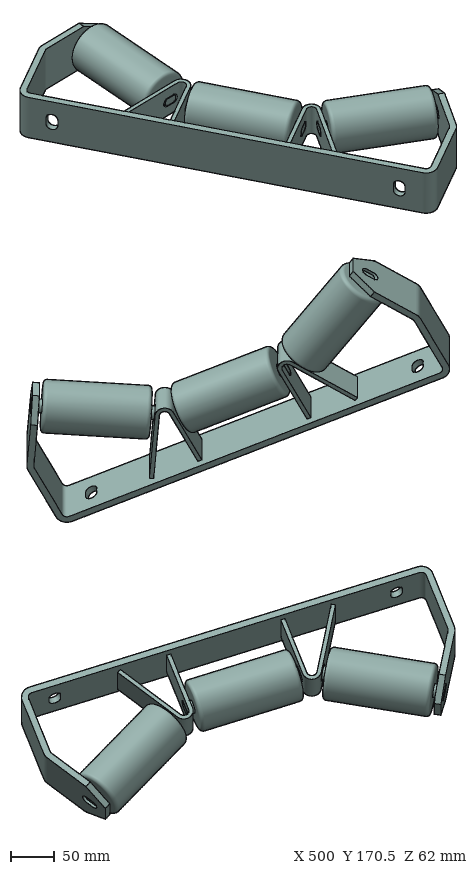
import cadquery as cq
import math


frame_length = 500.0
frame_depth = 170.5
frame_thickness = 8.0
strap_width = 60.0
inner_bend_radius = 6.0
upper_bend_start = 87.5
tip_taper_length = 29.5
tip_width = 25.5
mount_slot_spacing = 416.0
mount_slot_length = 22.0
mount_slot_width = 14.0

bracket_thickness = 5.0
bracket_width = 40.0

trough_angle = 30.0
roller_length = 125.0
roller_diameter = 62.0
roller_edge_radius = 4.5
shaft_diameter = 16.0
shaft_flat_width = 10.0
bracket_spacing = 134.0
center_roller_y = 71.0
wing_axis_y = 150.0

shaft_slot_length = 21.0
shaft_slot_width = 12.0

mid_z = strap_width / 2
half_length = frame_length / 2
half_spacing = bracket_spacing / 2
cos_trough = math.cos(math.radians(trough_angle))
sin_trough = math.sin(math.radians(trough_angle))
tan_trough = math.tan(math.radians(trough_angle))
tan_half_trough = math.tan(math.radians(trough_angle / 2))
outer_bend_radius = inner_bend_radius + frame_thickness

wing_corner_y = upper_bend_start + outer_bend_radius * tan_half_trough
wing_tip_x = half_length - (frame_depth - wing_corner_y) * tan_trough

wing_axis_x = half_length - (wing_axis_y - wing_corner_y) * tan_trough
wing_roller_inset = frame_thickness + half_spacing
wing_roller_x = wing_axis_x - wing_roller_inset * cos_trough
wing_roller_y = wing_axis_y - wing_roller_inset * sin_trough


def mirror_x(shape):
    return shape.mirror("YZ")


def place_on_wing_axis(shape):
    """Move a shape built along X at the origin onto the right wing roller axis."""
    return shape.rotate((0, 0, 0), (0, 0, 1), trough_angle).translate((wing_roller_x, wing_roller_y, mid_z))


def place_on_center_axis(shape):
    return shape.translate((0, center_roller_y, mid_z))


def shaft_slot_cutter(x_start, x_end):
    """Round-ended slot along X, long across the roller axis in the XY plane."""
    return (
        cq.Workplane("YZ", origin=(x_start, 0, 0))
        .slot2D(shaft_slot_length, shaft_slot_width)
        .extrude(x_end - x_start)
    )


def make_wing_tip_taper():
    """The two wedges that narrow the right wing toward its tip."""
    tip_along_wing = (frame_depth - wing_axis_y) / cos_trough
    taper_start = tip_along_wing - tip_taper_length
    lower_wedge = (
        cq.Workplane("YZ", origin=(half_spacing - frame_thickness, 0, 0))
        .polyline([
            (taper_start, -strap_width / 2),
            (tip_along_wing, -strap_width / 2),
            (tip_along_wing, -tip_width / 2),
        ])
        .close()
        .extrude(3 * frame_thickness)
    )
    return place_on_wing_axis(lower_wedge.union(lower_wedge.mirror("XY")))


def make_frame():
    right_outer = [
        (half_length, 0),
        (half_length, wing_corner_y),
        (wing_tip_x, frame_depth),
    ]
    right_inner = [
        (wing_tip_x - frame_thickness * cos_trough, frame_depth - frame_thickness * sin_trough),
        (half_length - frame_thickness, wing_corner_y - frame_thickness * tan_half_trough),
        (half_length - frame_thickness, frame_thickness),
    ]
    right_side = right_outer + right_inner
    left_side = [(-x, y) for x, y in reversed(right_side)]
    frame = cq.Workplane("XY").polyline(right_side + left_side).close().extrude(strap_width)

    for corners, radius in ((right_outer[:2], outer_bend_radius), (right_inner[1:], inner_bend_radius)):
        for x, y in corners:
            for side in (-1, 1):
                bend_edge = cq.selectors.NearestToPointSelector((side * x, y, mid_z))
                frame = frame.edges("|Z").edges(bend_edge).fillet(radius)

    taper = make_wing_tip_taper()
    slot = place_on_wing_axis(shaft_slot_cutter(roller_length / 2, half_spacing + 2 * frame_thickness))
    for cutter in (taper, slot):
        frame = frame.cut(cutter).cut(mirror_x(cutter))

    mount_slots = (
        cq.Workplane("XZ", origin=(0, 0, mid_z))
        .pushPoints([(-mount_slot_spacing / 2, 0), (mount_slot_spacing / 2, 0)])
        .slot2D(mount_slot_length, mount_slot_width, 90)
        .extrude(-frame_thickness)
    )
    return frame.cut(mount_slots)


def make_right_bracket():
    """Hairpin strip: an upright leg beside the center roller, a sloped leg beside the wing roller."""
    outer_radius = inner_bend_radius + bracket_thickness
    bend_x = half_spacing + outer_radius
    sloped_face = wing_roller_x * cos_trough + wing_roller_y * sin_trough - half_spacing
    bend_y = (sloped_face - outer_radius - bend_x * cos_trough) / sin_trough
    arc_middle = math.radians((trough_angle + 180) / 2)

    def bend_point(radius, angle):
        return (bend_x + radius * math.cos(angle), bend_y + radius * math.sin(angle))

    slope_angle = math.radians(trough_angle)
    outer_slope_start = bend_point(outer_radius, slope_angle)
    inner_slope_start = bend_point(inner_bend_radius, slope_angle)
    sloped_length = (inner_slope_start[1] - frame_thickness) / cos_trough

    def leg_end(start):
        return (start[0] + sloped_length * sin_trough, start[1] - sloped_length * cos_trough)

    bracket = (
        cq.Workplane("XY", origin=(0, 0, mid_z - bracket_width / 2))
        .moveTo(half_spacing, frame_thickness)
        .lineTo(half_spacing, bend_y)
        .threePointArc(bend_point(outer_radius, arc_middle), outer_slope_start)
        .lineTo(*leg_end(outer_slope_start))
        .lineTo(*leg_end(inner_slope_start))
        .lineTo(*inner_slope_start)
        .threePointArc(bend_point(inner_bend_radius, arc_middle), bend_point(inner_bend_radius, math.pi))
        .lineTo(half_spacing + bracket_thickness, frame_thickness)
        .close()
        .extrude(bracket_width)
    )
    slot = shaft_slot_cutter(half_spacing, half_spacing + bracket_thickness)
    return bracket.cut(place_on_center_axis(slot)).cut(place_on_wing_axis(mirror_x(slot)))


def make_roller():
    """Roller along X, with shaft shoulders against the plates and flatted ends in their slots."""
    barrel = (
        cq.Workplane("YZ", origin=(-roller_length / 2, 0, 0))
        .circle(roller_diameter / 2)
        .extrude(roller_length)
        .edges()
        .fillet(roller_edge_radius)
    )
    shoulders = cq.Workplane("YZ", origin=(-half_spacing, 0, 0)).circle(shaft_diameter / 2).extrude(bracket_spacing)
    shaft_length = bracket_spacing + 2 * bracket_thickness
    shaft = cq.Workplane("YZ", origin=(-shaft_length / 2, 0, 0)).circle(shaft_diameter / 2).extrude(shaft_length)
    flatted_shaft = shaft.intersect(cq.Workplane("XY").box(shaft_length, shaft_diameter, shaft_flat_width))
    return barrel.union(shoulders).union(flatted_shaft)


frame = make_frame()

right_bracket = make_right_bracket()
brackets = [right_bracket, mirror_x(right_bracket)]

roller = make_roller()
wing_roller = place_on_wing_axis(roller)
rollers = [place_on_center_axis(roller), wing_roller, mirror_x(wing_roller)]

result = cq.Compound.makeCompound([body.val() for body in [frame, *brackets, *rollers]])